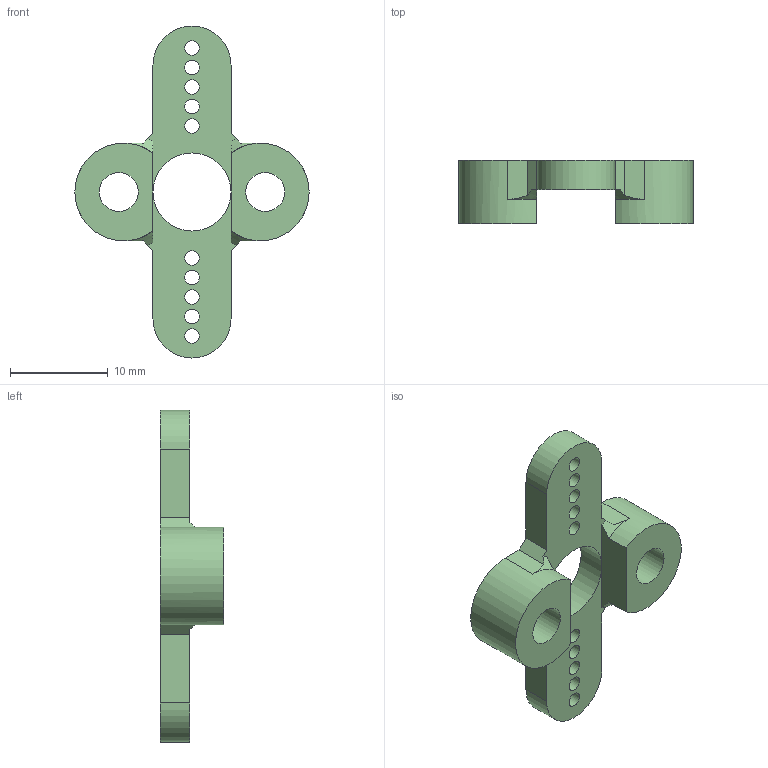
import cadquery as cq

plate_width = 8.0
plate_height = 34.0
plate_thickness = 3.0
center_hole_diameter = 8.0

arm_hole_diameter = 1.5
arm_hole_count = 5
arm_hole_pitch = 2.0
first_arm_hole_z = 6.75

overall_width = 24.0
boss_radius = 5.0
boss_depth = 6.5
boss_hole_diameter = 4.0
boss_hole_x = 7.5

web_flare = 1.0
collar_height = 1.0

half_plate_width = plate_width / 2
boss_x = overall_width / 2 - boss_radius
collar_radius = boss_radius + collar_height
cone_tip_depth = plate_thickness + collar_height


def front_plane(depth=0.0):
    """XZ workplane at the given depth in front of the back face."""
    return cq.Workplane("XZ", origin=(0, -depth, 0))


def make_plate():
    """Upright plate with fully rounded ends."""
    return front_plane().slot2D(plate_height, plate_width, 90).extrude(plate_thickness)


def make_web_outline(depth):
    """Prism filling the space between the left boss and the plate, flared at the plate edge."""
    flare_x = -half_plate_width - web_flare
    flare_z = boss_radius + web_flare
    return (
        front_plane()
        .moveTo(-boss_x, boss_radius)
        .lineTo(flare_x, boss_radius)
        .lineTo(-half_plate_width, flare_z)
        .lineTo(-half_plate_width, -flare_z)
        .lineTo(flare_x, -boss_radius)
        .lineTo(-boss_x, -boss_radius)
        .close()
        .extrude(depth)
    )


def make_boss():
    """Left boss, trimmed flat at the plate edge."""
    trim_width = boss_x + boss_radius - half_plate_width
    trim = (
        front_plane()
        .center(-half_plate_width - trim_width / 2, 0)
        .rect(trim_width, 2 * boss_radius)
        .extrude(boss_depth)
    )
    return front_plane().center(-boss_x, 0).circle(boss_radius).extrude(boss_depth).intersect(trim)


def make_collar():
    """Conical collar around the foot of the left boss, kept only over the web."""
    cone = cq.Solid.makeCone(
        collar_radius,
        boss_radius,
        collar_height,
        pnt=cq.Vector(-boss_x, -plate_thickness, 0),
        dir=cq.Vector(0, -1, 0),
    )
    return make_web_outline(cone_tip_depth).intersect(cq.Workplane(cone))


def make_side():
    """Left boss together with its web and collar."""
    return make_boss().union(make_web_outline(plate_thickness)).union(make_collar())


def make_through_holes(points, diameter):
    """Cutters running through the full depth of the part."""
    return front_plane().pushPoints(points).circle(diameter / 2).extrude(boss_depth)


left_side = make_side()
right_side = left_side.mirror("YZ")
body = make_plate().union(left_side).union(right_side)

center_hole = front_plane().circle(center_hole_diameter / 2).extrude(plate_thickness)

arm_hole_heights = [first_arm_hole_z + i * arm_hole_pitch for i in range(arm_hole_count)]
arm_hole_points = [(0, side * z) for side in (1, -1) for z in arm_hole_heights]
boss_hole_points = [(-boss_hole_x, 0), (boss_hole_x, 0)]

result = (
    body.cut(center_hole)
    .cut(make_through_holes(arm_hole_points, arm_hole_diameter))
    .cut(make_through_holes(boss_hole_points, boss_hole_diameter))
)